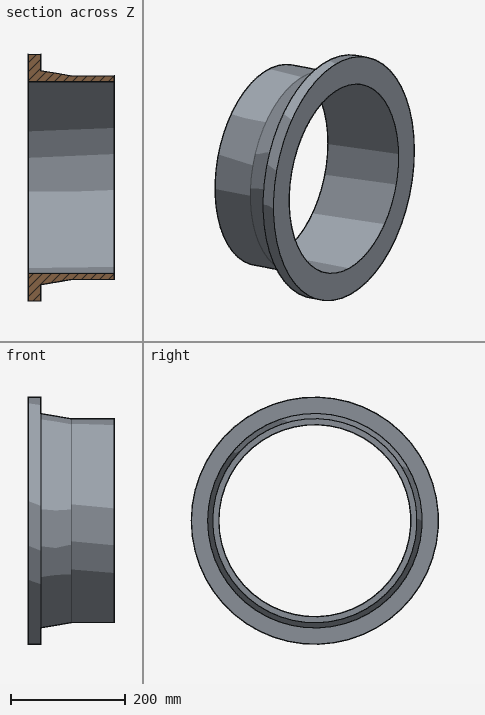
import cadquery as cq

total_length = 150.0
flange_diameter = 430.0
flange_thickness = 22.0
pipe_diameter = 355.0
bore_diameter = 333.4
neck_diameter = 373.0
spigot_length = 75.0

flange_radius = flange_diameter / 2
pipe_radius = pipe_diameter / 2
bore_radius = bore_diameter / 2
neck_radius = neck_diameter / 2
taper_end_x = total_length - spigot_length


def wall_profile():
    """Half section of the wall, drawn on the -Y side of the X axis."""
    return (
        cq.Workplane("XY")
        .moveTo(0, -bore_radius)
        .lineTo(0, -flange_radius)
        .lineTo(flange_thickness, -flange_radius)
        .lineTo(flange_thickness, -neck_radius)
        .lineTo(taper_end_x, -pipe_radius)
        .lineTo(total_length, -pipe_radius)
        .lineTo(total_length, -bore_radius)
        .close()
    )


result = wall_profile().revolve(360, (0, 0, 0), (1, 0, 0))